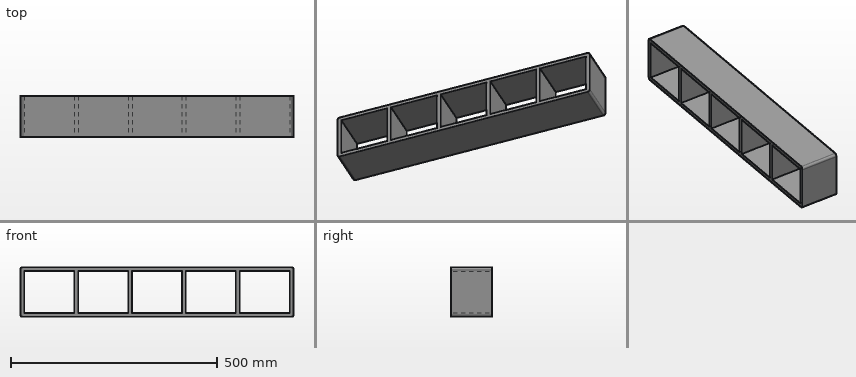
import cadquery as cq

length = 662.5
depth = 100.0
height = 121.0

wall = 10.0
corner_radius = 6.0

compartment_count = 5
compartment_width = (length - (compartment_count + 1) * wall) / compartment_count
compartment_height = height - 2 * wall
compartment_pitch = compartment_width + wall


def make_body():
    """Solid block, centred on the origin, with its four long corners rounded."""
    block = cq.Workplane("XY").box(length, depth, height)
    return block.edges("|Y").fillet(corner_radius)


def cut_compartments(body):
    """Cut the row of rectangular openings through the block along Y."""
    return (
        body.faces("<Y")
        .workplane(centerOption="CenterOfBoundBox")
        .rarray(compartment_pitch, compartment_height, compartment_count, 1)
        .rect(compartment_width, compartment_height)
        .cutThruAll()
    )


result = cut_compartments(make_body())